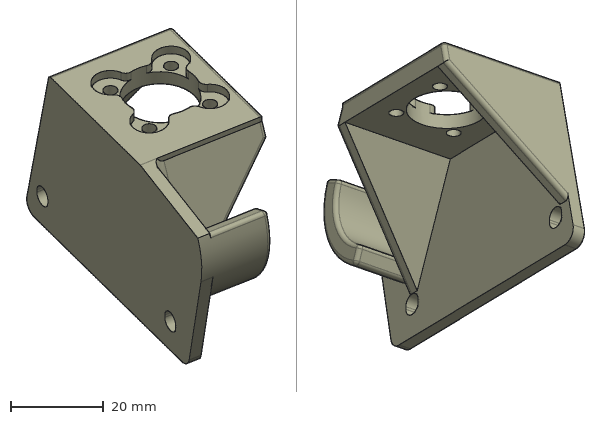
import cadquery as cq
import math

length = 69.9
depth = 31.5
height = 43.0
plate_thickness = 3.1
wall_thickness = 3.1
edge_radius = 1.0
foot_radius = 3.0

corner_radius = 3.0
left_lean = math.radians(12.6)
right_lean = math.radians(10.8)
top_break_x = 45.3
slot_width = 4.3
slot_length = 4.95
slot_xs = (6.3, 57.3)
slot_z = 8.0

hook_radius = 18.85
hook_inner_radius = 14.2
hook_depth = 17.8
hook_x = length - hook_radius
hook_z = 30.75
hook_top_angle = math.radians(23.8)
hook_end_angle = math.radians(-67.6)

roof_thickness = 5.45
roof_rim = 1.4
right_wall_lean = math.radians(23.5)
slope_foot_z = 10.5

bore_diameter = 17.5
bore_x = 25.8
bore_y = 17.6
screw_diameter = 3.2
screw_offset = 7.75
lobe_radius = 4.2
lobe_depth = 2.1
lobe_blend = 1.75

left_foot_x = -corner_radius * (1 / math.tan((math.pi / 2 - left_lean) / 2) - 1)


def hook_point(radius, angle):
    return (hook_x + radius * math.cos(angle), hook_z + radius * math.sin(angle))


def left_x(z):
    return left_foot_x + z * math.tan(left_lean)


def right_wall_x(z):
    """Outer face of the right wall, which starts below a short upright rim of the roof."""
    return top_break_x + (height - roof_rim - z) * math.tan(right_wall_lean)


def extrude_back(sketch, distance):
    """Extrude an XZ sketch toward +Y."""
    return sketch.extrude(-distance)


def make_plate(thickness):
    """Plate outline, rounded at three corners, extruded back by the given thickness."""
    arc_start = hook_point(hook_radius, -right_lean)
    arc_end = hook_point(hook_radius, hook_top_angle)
    right_foot_x = arc_start[0] - arc_start[1] * math.tan(right_lean)
    outline = (
        cq.Workplane("XZ")
        .moveTo(left_foot_x, 0)
        .lineTo(right_foot_x, 0)
        .lineTo(*arc_start)
        .threePointArc((length, hook_z), arc_end)
        .lineTo(top_break_x, height)
        .lineTo(left_x(height), height)
        .close()
    )
    plate = extrude_back(outline, thickness)
    plate = plate.faces("<Z").edges("|Y").fillet(corner_radius)
    top_left = cq.selectors.NearestToPointSelector((left_x(height), thickness / 2, height))
    return plate.edges(top_left).fillet(edge_radius)


def make_block():
    """Solid bracket envelope with its rear edges rounded."""
    outline = cq.Workplane("XZ").polyline([
        (left_x(0), 0),
        (right_wall_x(0), 0),
        (top_break_x, height - roof_rim),
        (top_break_x, height),
        (left_x(height), height),
    ]).close()
    block = extrude_back(outline, depth)
    below_slope = (
        cq.Workplane("YZ")
        .polyline([
            (plate_thickness, slope_foot_z),
            (depth, height - roof_thickness),
            (depth, -height),
            (0, -height),
            (0, slope_foot_z),
        ])
        .close()
        .extrude(2 * length, both=True)
    )
    block = block.cut(below_slope)
    top_left = cq.selectors.NearestToPointSelector((left_x(height), depth / 2, height))
    side_point_z = (slope_foot_z + height - roof_thickness) / 2
    side_point_y = (plate_thickness + depth) / 2
    roof_z = (height - roof_rim + height - roof_thickness) / 2
    rim_z = height - roof_rim / 2
    rounded_points = [
        ((left_x(height) + top_break_x) / 2, depth, height),
        (left_x(roof_z), depth, roof_z),
        (right_wall_x(roof_z), depth, roof_z),
        (top_break_x, depth, rim_z),
        (left_x(side_point_z), side_point_y, side_point_z),
        (right_wall_x(side_point_z), side_point_y, side_point_z),
    ]
    edges = block.edges(top_left)
    for point in rounded_points:
        edges = edges.add(block.edges(cq.selectors.NearestToPointSelector(point)))
    return edges.fillet(edge_radius)


def make_cavity():
    ceiling_z = height - roof_thickness
    left_inset = wall_thickness / math.cos(left_lean)
    right_inset = wall_thickness / math.cos(right_wall_lean)
    outline = cq.Workplane("XZ", origin=(0, plate_thickness, 0)).polyline([
        (left_x(0) + left_inset, 0),
        (right_wall_x(0) - right_inset, 0),
        (right_wall_x(ceiling_z) - right_inset, ceiling_z),
        (left_x(ceiling_z) + left_inset, ceiling_z),
    ]).close()
    return extrude_back(outline, depth)


def make_hook():
    middle_angle = (hook_top_angle + hook_end_angle) / 2
    outline = (
        cq.Workplane("XZ")
        .moveTo(*hook_point(hook_inner_radius, hook_end_angle))
        .lineTo(*hook_point(hook_radius, hook_end_angle))
        .threePointArc(hook_point(hook_radius, middle_angle), hook_point(hook_radius, hook_top_angle))
        .lineTo(*hook_point(hook_inner_radius, hook_top_angle))
        .threePointArc(
            hook_point(hook_inner_radius, middle_angle), hook_point(hook_inner_radius, hook_end_angle)
        )
        .close()
    )
    hook = extrude_back(outline, hook_depth)
    return hook.edges("|Y").fillet(edge_radius).faces(">Y").edges().fillet(edge_radius)


def make_foot_blend():
    """Concave blend between the right wall and the back of the plate, running down to the hook."""
    outer_y = plate_thickness + foot_radius
    blend_low_z = hook_z - hook_inner_radius
    outline = (
        cq.Workplane("XY", origin=(right_wall_x(height), 0, height))
        .moveTo(0, plate_thickness)
        .lineTo(foot_radius, plate_thickness)
        .radiusArc((0, outer_y), foot_radius)
        .lineTo(-edge_radius, outer_y)
        .lineTo(-edge_radius, plate_thickness)
        .close()
    )
    path = cq.Workplane("XZ").moveTo(right_wall_x(height), height)
    path = path.lineTo(right_wall_x(blend_low_z), blend_low_z)
    return outline.sweep(path)


def make_bore_cutter():
    floor = cq.Workplane("XY", origin=(bore_x, bore_y, height - lobe_depth))
    base = cq.Workplane("XY", origin=(bore_x, bore_y, height / 2))
    screws = [(x, y) for x in (-screw_offset, screw_offset) for y in (-screw_offset, screw_offset)]
    lobes = floor.pushPoints(screws).circle(lobe_radius).extrude(lobe_depth)
    recess = floor.circle(bore_diameter / 2).extrude(lobe_depth).union(lobes)
    recess = recess.edges("|Z").fillet(lobe_blend)
    bore = base.circle(bore_diameter / 2).extrude(height)
    screw_holes = base.pushPoints(screws).circle(screw_diameter / 2).extrude(height)
    return recess.union(bore).union(screw_holes)


def make_slots():
    slots = cq.Workplane("XZ").pushPoints([(x, slot_z) for x in slot_xs]).slot2D(slot_length, slot_width, 90)
    return extrude_back(slots, plate_thickness)


result = (
    make_plate(plate_thickness)
    .union(make_block())
    .cut(make_cavity())
    .union(make_foot_blend().intersect(make_plate(depth)))
    .union(make_hook())
    .cut(make_bore_cutter())
    .cut(make_slots())
)